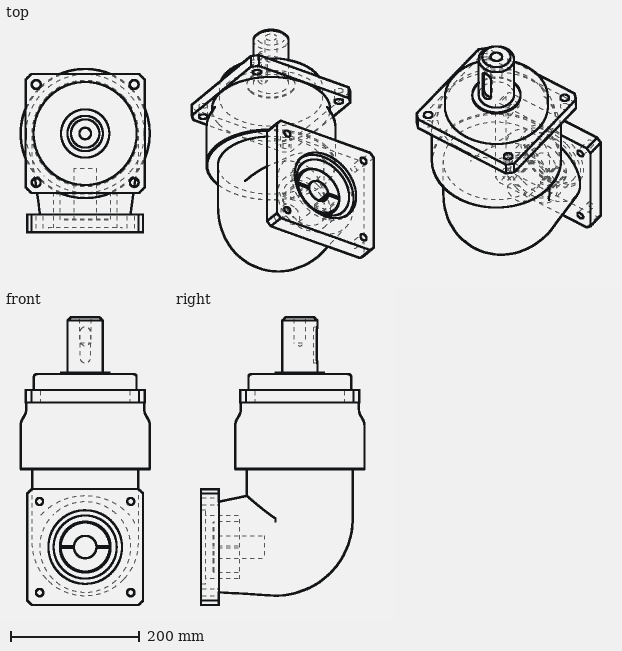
import cadquery as cq
import math


SHAFT_TOP = 356.7
SHAFT_RADIUS = 27.5
SHAFT_CHAMFER = 5.5
SHAFT_BASE = 270.5
CENTRE_HOLE_DIAMETER = 18.0
CENTRE_HOLE_DEPTH = 40.0
DRILL_POINT_ANGLE = 118.0
KEY_WIDTH = 16.0
KEY_DEPTH = 6.0
KEY_LENGTH = 56.0
KEY_CENTRE = (SHAFT_TOP + SHAFT_BASE) / 2

SEAL_RADIUS = 37.5
PILOT_TOP = 268.5
PILOT_RADIUS = 80.0
PILOT_EDGE_FILLET = 5.0
OUTPUT_FLANGE_SIZE = 185.0
OUTPUT_FLANGE_TOP = 244.0
OUTPUT_FLANGE_THICKNESS = 20.0
OUTPUT_FLANGE_BOTTOM = OUTPUT_FLANGE_TOP - OUTPUT_FLANGE_THICKNESS
OUTPUT_FLANGE_CHAMFER = 9.0
OUTPUT_BOLT_CIRCLE = 215.0
OUTPUT_BOLT_HOLE = 13.5

NECK_RADIUS = 91.8
NECK_HEIGHT = 10.0
BODY_RADIUS = 100.5
BODY_BOTTOM = 120.0
BODY_BOTTOM_CHAMFER = 1.5
SHOULDER_BLEND_RADIUS = 20.0
SHOULDER_ANGLE = 30.0

ELBOW_RADIUS = 82.5
ELBOW_BEND_RADIUS = 37.5
ELBOW_PIVOT_Y = -ELBOW_BEND_RADIUS
ELBOW_PIVOT_Z = 44.2
ELBOW_END_Z = ELBOW_PIVOT_Z - ELBOW_BEND_RADIUS

INPUT_FACE_Y = -153.5
INPUT_FLANGE_SIZE = 180.0
INPUT_FLANGE_THICKNESS = 28.0
INPUT_FLANGE_BACK_Y = INPUT_FACE_Y + INPUT_FLANGE_THICKNESS
INPUT_FLANGE_CHAMFER = 7.0
INPUT_BOLT_CIRCLE = 200.0
INPUT_BOLT_HOLE = 11.0
INPUT_NECK_RADIUS = 70.5

SPIGOT_DIAMETER = 114.3
SPIGOT_DEPTH = 7.5
CAVITY_DIAMETER = 98.0
CAVITY_DEPTH = 60.0
HUB_DIAMETER = 79.0
HUB_CHAMFER = 1.5
HUB_FACE_DEPTH = 19.0
HUB_LENGTH = CAVITY_DEPTH - HUB_FACE_DEPTH
HUB_BORE_DIAMETER = 35.0
HUB_BORE_DEPTH = 80.0
CLAMP_SLOT_WIDTH = 3.5


def input_plane(y):
    """Plane across the input axis at the given Y, with its normal pointing inward (+Y)."""
    return cq.Plane(origin=(0, y, 0), xDir=(1, 0, 0), normal=(0, 1, 0))


def square_flange(plane, size, thickness, chamfer, bolt_circle, bolt_hole):
    """Square plate with chamfered corners and a through hole near each corner."""
    bolt_spacing = bolt_circle / math.sqrt(2)
    plate = cq.Workplane(plane).rect(size, size).extrude(thickness)
    plate = plate.edges(cq.selectors.ParallelDirSelector(plane.zDir)).chamfer(chamfer)
    holes = (
        cq.Workplane(plane)
        .rect(bolt_spacing, bolt_spacing, forConstruction=True)
        .vertices()
        .circle(bolt_hole / 2)
        .extrude(thickness)
    )
    return plate.cut(holes)


def output_shaft():
    """Keyed shaft with a chamfered end and a drilled centre hole."""
    shaft = (
        cq.Workplane("XY", origin=(0, 0, PILOT_TOP))
        .circle(SHAFT_RADIUS)
        .extrude(SHAFT_TOP - PILOT_TOP)
        .faces(">Z")
        .chamfer(SHAFT_CHAMFER)
    )
    hole_radius = CENTRE_HOLE_DIAMETER / 2
    hole_bottom = SHAFT_TOP - CENTRE_HOLE_DEPTH
    drill_point = hole_radius / math.tan(math.radians(DRILL_POINT_ANGLE / 2))
    centre_hole = (
        cq.Workplane("XZ")
        .moveTo(0, SHAFT_TOP)
        .lineTo(hole_radius, SHAFT_TOP)
        .lineTo(hole_radius, hole_bottom)
        .lineTo(0, hole_bottom - drill_point)
        .close()
        .revolve()
    )
    keyway = (
        cq.Workplane(input_plane(SHAFT_RADIUS - KEY_DEPTH))
        .center(0, -KEY_CENTRE)
        .slot2D(KEY_LENGTH, KEY_WIDTH, 90)
        .extrude(KEY_DEPTH)
    )
    return shaft.cut(centre_hole).cut(keyway)


def output_pilot():
    """Centring pilot with a rounded rim, topped by the thin seal disc."""
    pilot = (
        cq.Workplane("XY", origin=(0, 0, OUTPUT_FLANGE_TOP))
        .circle(PILOT_RADIUS)
        .extrude(PILOT_TOP - OUTPUT_FLANGE_TOP)
        .faces(">Z")
        .fillet(PILOT_EDGE_FILLET)
    )
    seal_height = SHAFT_BASE - PILOT_TOP
    seal = cq.Workplane("XY", origin=(0, 0, PILOT_TOP)).circle(SEAL_RADIUS).extrude(seal_height)
    return pilot.union(seal)


def gear_housing():
    """Revolved housing: neck, concave blend, cone, convex blend, cylindrical body."""
    angle = math.radians(SHOULDER_ANGLE)
    half_angle = angle / 2
    blend_height = SHOULDER_BLEND_RADIUS * math.sin(angle)
    blend_width = SHOULDER_BLEND_RADIUS * (1 - math.cos(angle))
    mid_height = SHOULDER_BLEND_RADIUS * math.sin(half_angle)
    mid_width = SHOULDER_BLEND_RADIUS * (1 - math.cos(half_angle))
    cone_width = BODY_RADIUS - NECK_RADIUS - 2 * blend_width
    cone_height = cone_width / math.tan(angle)
    neck_bottom = OUTPUT_FLANGE_BOTTOM - NECK_HEIGHT
    body_top = neck_bottom - 2 * blend_height - cone_height
    return (
        cq.Workplane("XZ")
        .moveTo(0, OUTPUT_FLANGE_BOTTOM)
        .lineTo(NECK_RADIUS, OUTPUT_FLANGE_BOTTOM)
        .lineTo(NECK_RADIUS, neck_bottom)
        .threePointArc(
            (NECK_RADIUS + mid_width, neck_bottom - mid_height),
            (NECK_RADIUS + blend_width, neck_bottom - blend_height),
        )
        .lineTo(BODY_RADIUS - blend_width, body_top + blend_height)
        .threePointArc((BODY_RADIUS - mid_width, body_top + mid_height), (BODY_RADIUS, body_top))
        .lineTo(BODY_RADIUS, BODY_BOTTOM + BODY_BOTTOM_CHAMFER)
        .lineTo(BODY_RADIUS - BODY_BOTTOM_CHAMFER, BODY_BOTTOM)
        .lineTo(0, BODY_BOTTOM)
        .close()
        .revolve()
    )


def elbow_housing():
    """Vertical tube, quarter bend, and a tapering neck that leads to the input flange."""
    tube = (
        cq.Workplane("XY", origin=(0, 0, ELBOW_PIVOT_Z))
        .circle(ELBOW_RADIUS)
        .extrude(BODY_BOTTOM - ELBOW_PIVOT_Z)
    )
    half_chord = math.sqrt(ELBOW_RADIUS**2 - ELBOW_BEND_RADIUS**2)
    swept_body = (
        cq.Workplane("XY", origin=(0, 0, ELBOW_PIVOT_Z))
        .moveTo(-half_chord, ELBOW_PIVOT_Y)
        .threePointArc((0, ELBOW_RADIUS), (half_chord, ELBOW_PIVOT_Y))
        .close()
        .revolve(360, (1, ELBOW_PIVOT_Y, 0), (0, ELBOW_PIVOT_Y, 0))
    )
    quarter_size = 2 * (ELBOW_BEND_RADIUS + ELBOW_RADIUS)
    lower_rear_quarter = (
        cq.Workplane("XY", origin=(0, ELBOW_PIVOT_Y + quarter_size / 2, ELBOW_PIVOT_Z))
        .rect(quarter_size, quarter_size)
        .extrude(-quarter_size)
    )
    bend = swept_body.intersect(lower_rear_quarter)
    neck = (
        cq.Workplane(input_plane(ELBOW_PIVOT_Y))
        .center(0, -ELBOW_END_Z)
        .circle(ELBOW_RADIUS)
        .workplane(offset=INPUT_FLANGE_BACK_Y - ELBOW_PIVOT_Y)
        .center(0, ELBOW_END_Z)
        .circle(INPUT_NECK_RADIUS)
        .loft(ruled=True)
    )
    return tube.union(neck).union(bend)


def input_recess():
    """Volume removed from the input side, leaving the split clamping hub in the cavity."""
    face = input_plane(INPUT_FACE_Y)
    hub_face = input_plane(INPUT_FACE_Y + HUB_FACE_DEPTH)
    spigot = cq.Workplane(face).circle(SPIGOT_DIAMETER / 2).extrude(SPIGOT_DEPTH)
    cavity = cq.Workplane(face).circle(CAVITY_DIAMETER / 2).extrude(CAVITY_DEPTH)
    hub = cq.Workplane(hub_face).circle(HUB_DIAMETER / 2).extrude(HUB_LENGTH)
    hub = hub.faces("<Y").chamfer(HUB_CHAMFER)
    bore = cq.Workplane(hub_face).circle(HUB_BORE_DIAMETER / 2).extrude(HUB_BORE_DEPTH)
    slot = cq.Workplane(hub_face).rect(HUB_DIAMETER, CLAMP_SLOT_WIDTH).extrude(HUB_LENGTH)
    return spigot.union(cavity).cut(hub).union(bore).union(slot)


output_flange = square_flange(
    cq.Plane.XY(origin=(0, 0, OUTPUT_FLANGE_BOTTOM)),
    OUTPUT_FLANGE_SIZE,
    OUTPUT_FLANGE_THICKNESS,
    OUTPUT_FLANGE_CHAMFER,
    OUTPUT_BOLT_CIRCLE,
    OUTPUT_BOLT_HOLE,
)
input_flange = square_flange(
    input_plane(INPUT_FACE_Y),
    INPUT_FLANGE_SIZE,
    INPUT_FLANGE_THICKNESS,
    INPUT_FLANGE_CHAMFER,
    INPUT_BOLT_CIRCLE,
    INPUT_BOLT_HOLE,
)

result = (
    elbow_housing()
    .union(gear_housing())
    .union(output_flange)
    .union(output_pilot())
    .union(output_shaft())
    .union(input_flange)
    .cut(input_recess())
)